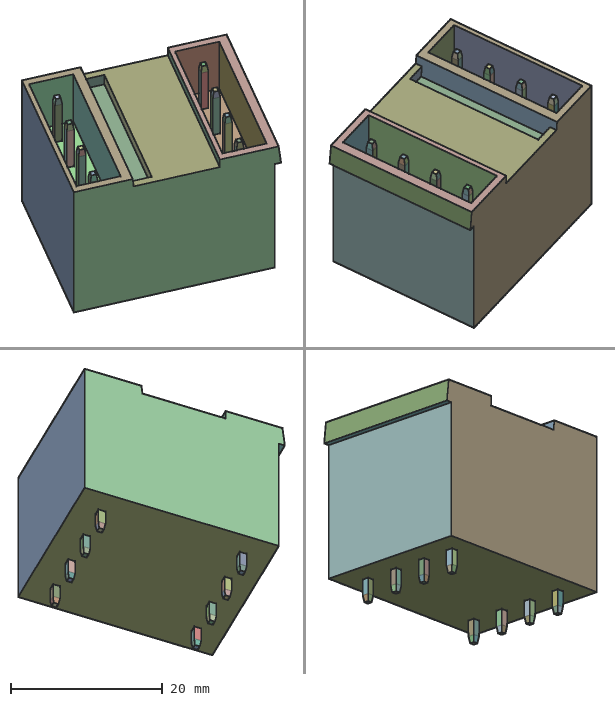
import cadquery as cq

WIDTH = 22.3
DEPTH = 27.82
HEIGHT = 22.0

LIP_REACH = 0.85
LIP_HEIGHT = 3.1
LIP_SLOPE_RUN = 0.35

CHANNEL_DEPTH = 1.38
CHANNEL_FRONT = 8.15
CHANNEL_REAR = 20.2

WALL = 0.7
SIDE_WALL = 1.0
SOCKET_LENGTH = 6.1
SOCKET_DEPTH = 8.6

POCKET_REAR = 11.1

PIN_ROWS = 2
PINS_PER_ROW = 4
PIN_PITCH = 5.08
PIN_WIDTH = 1.0
PIN_TIP_WIDTH = 0.7
PIN_BELOW = 3.2
TAPER_LENGTH = 1.0
PIN_TOP = 21.1
FRONT_ROW_Y = 3.8
ROW_SPACING = 20.22

SOCKET_WIDTH = WIDTH - 2 * SIDE_WALL
SOCKET_STARTS = (WALL, CHANNEL_REAR + WALL)
SLOPE = LIP_SLOPE_RUN / LIP_HEIGHT


def extrude_across(points, width):
    """Extrude a Y-Z outline symmetrically about X = 0."""
    return cq.Workplane("YZ").polyline(points).close().extrude(width / 2, both=True)


def make_block():
    """Housing side outline: block, rear lip and channel with a sloping front wall."""
    lip_rear = DEPTH + LIP_REACH
    lip_bottom = HEIGHT - LIP_HEIGHT
    channel_floor = HEIGHT - CHANNEL_DEPTH
    outline = [
        (0, 0),
        (DEPTH, 0),
        (DEPTH, lip_bottom),
        (lip_rear, lip_bottom),
        (lip_rear - LIP_SLOPE_RUN, HEIGHT),
        (CHANNEL_REAR, HEIGHT),
        (CHANNEL_REAR, channel_floor),
        (CHANNEL_FRONT + SLOPE * CHANNEL_DEPTH, channel_floor),
        (CHANNEL_FRONT, HEIGHT),
        (0, HEIGHT),
    ]
    return extrude_across(outline, WIDTH)


def make_socket_cutter(front):
    """Rectangular socket, open at the top, starting at the given Y."""
    return cq.Workplane("XY").box(
        SOCKET_WIDTH, SOCKET_LENGTH, SOCKET_DEPTH, centered=(True, False, False)
    ).translate((0, front, HEIGHT - SOCKET_DEPTH))


def make_pocket_cutter():
    """Catch pocket whose front wall continues the slope of the channel wall."""
    outline = [
        (CHANNEL_FRONT, HEIGHT),
        (POCKET_REAR, HEIGHT),
        (POCKET_REAR, HEIGHT - LIP_HEIGHT),
        (CHANNEL_FRONT + LIP_SLOPE_RUN, HEIGHT - LIP_HEIGHT),
    ]
    return extrude_across(outline, SOCKET_WIDTH)


def make_taper(start_z, end_z):
    """Square taper from the full pin width at start_z to the tip width at end_z."""
    return (
        cq.Workplane("XY", origin=(0, 0, start_z))
        .rect(PIN_WIDTH, PIN_WIDTH)
        .workplane(offset=end_z - start_z)
        .rect(PIN_TIP_WIDTH, PIN_TIP_WIDTH)
        .loft(ruled=True)
    )


def make_pin(x, y):
    """Square pin with a taper at each end, standing at (x, y)."""
    shank_bottom = TAPER_LENGTH - PIN_BELOW
    shank_top = PIN_TOP - TAPER_LENGTH
    shank = (
        cq.Workplane("XY", origin=(0, 0, shank_bottom))
        .rect(PIN_WIDTH, PIN_WIDTH)
        .extrude(shank_top - shank_bottom)
    )
    lower_tip = make_taper(shank_bottom, -PIN_BELOW)
    upper_tip = make_taper(shank_top, PIN_TOP)
    return shank.union(lower_tip).union(upper_tip).translate((x, y, 0))


pins = []
for row in range(PIN_ROWS):
    for column in range(PINS_PER_ROW):
        pin_x = (column - (PINS_PER_ROW - 1) / 2) * PIN_PITCH
        pins.append(make_pin(pin_x, FRONT_ROW_Y + row * ROW_SPACING))

housing = make_block().cut(make_pocket_cutter())
for socket_start in SOCKET_STARTS:
    housing = housing.cut(make_socket_cutter(socket_start))
for pin in pins:
    housing = housing.cut(pin)

result = cq.Compound.makeCompound([housing.val(), *[pin.val() for pin in pins]])